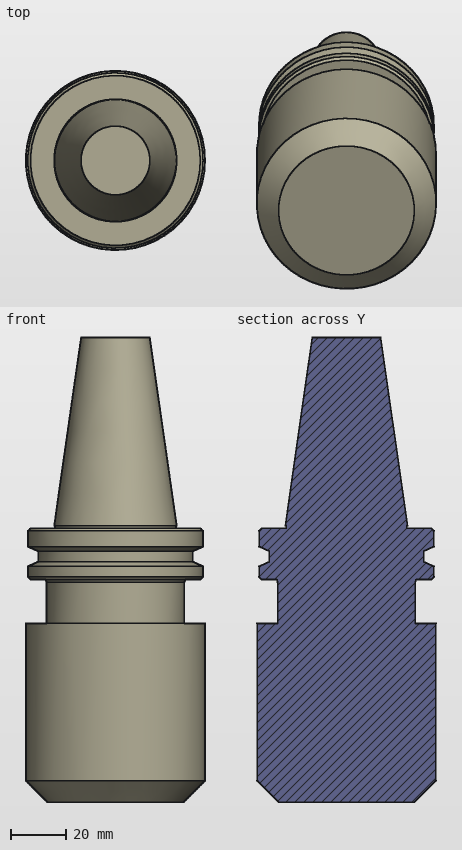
import cadquery as cq

total_height = 168.2

body_diameter = 65.0
nose_diameter = 49.1
nose_bevel_height = 7.9
body_top = 64.8

neck_diameter = 50.0

flare_diameter = 50.6
flare_height = 0.8

flange_diameter = 63.5
flange_bottom = 80.6
flange_top = 99.3
flange_chamfer = 1.0
groove_diameter = 56.0
groove_bottom = 85.5
groove_floor_bottom = 87.2
groove_floor_top = 90.9
groove_top = 92.5

relief_diameter = 43.9
taper_bottom = 100.1
taper_large_diameter = 44.5
taper_small_diameter = 24.9


def turned(profile):
    """Revolve (diameter, height) points, closed along the Z axis."""
    points = [(diameter / 2, height) for diameter, height in profile]
    return cq.Workplane("XZ").polyline(points).close().revolve(360, (0, 0), (0, 1))


body = turned([
    (0, 0),
    (nose_diameter, 0),
    (body_diameter, nose_bevel_height),
    (body_diameter, body_top),
    (0, body_top),
])

neck = turned([
    (0, body_top),
    (neck_diameter, body_top),
    (neck_diameter, flange_bottom - flare_height),
    (flare_diameter, flange_bottom),
    (0, flange_bottom),
])

flange_face_diameter = flange_diameter - 2 * flange_chamfer
flange = turned([
    (0, flange_bottom),
    (flange_face_diameter, flange_bottom),
    (flange_diameter, flange_bottom + flange_chamfer),
    (flange_diameter, groove_bottom),
    (groove_diameter, groove_floor_bottom),
    (groove_diameter, groove_floor_top),
    (flange_diameter, groove_top),
    (flange_diameter, flange_top - flange_chamfer),
    (flange_face_diameter, flange_top),
    (0, flange_top),
])

shank = turned([
    (0, flange_top),
    (relief_diameter, flange_top),
    (relief_diameter, taper_bottom),
    (taper_large_diameter, taper_bottom),
    (taper_small_diameter, total_height),
    (0, total_height),
])

result = body.union(neck).union(flange).union(shank)